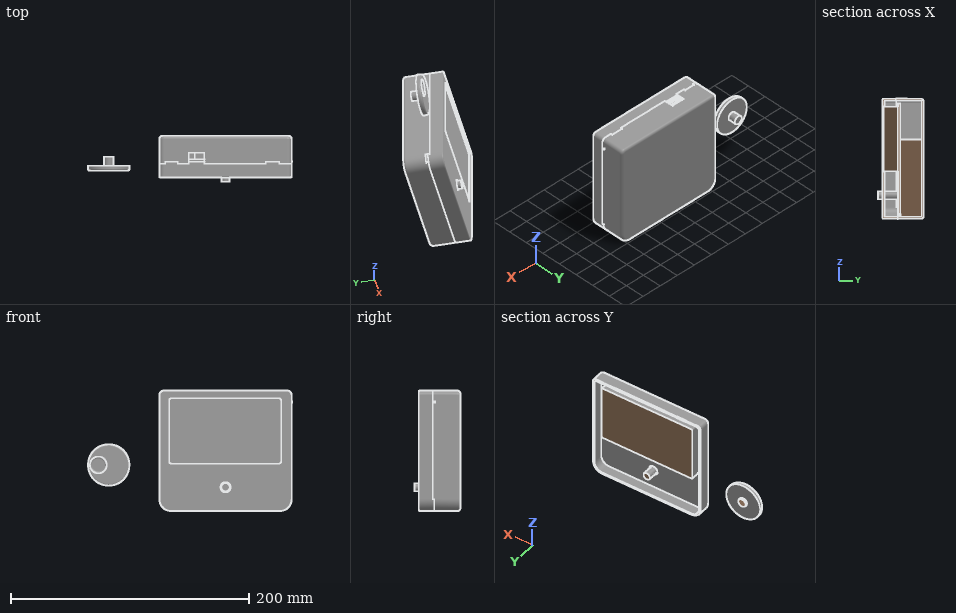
import cadquery as cq

CASE_WIDTH = 111.3
CASE_HEIGHT = 101.4
CASE_DEPTH = 35.2
TOP_CORNER_RADIUS = 4.0
BOTTOM_CORNER_RADIUS = 10.0
BACK_EDGE_RADIUS = 2.7
FRONT_EDGE_RADIUS = 1.0
WALL = 2.0
SEAM_Y = 11.7
CASE_BOTTOM = -CASE_HEIGHT / 2
CASE_TOP = CASE_HEIGHT / 2

TONGUE_RISE = 1.5
TONGUE_TOP_Y = SEAM_Y + TONGUE_RISE
LEFT_TONGUE_X = -45.3
LEFT_TONGUE_WIDTH = 10.5
RIGHT_TONGUE_X = 39.6
RIGHT_TONGUE_WIDTH = 11.3

PORT_X = -24.4
PORT_WIDTH = 13.0
PORT_BACK_Y = 20.8

WINDOW_WIDTH = 94.0
WINDOW_HEIGHT = 54.7
WINDOW_X = -0.3
WINDOW_TOP_MARGIN = 6.7
WINDOW_Z = CASE_TOP - WINDOW_TOP_MARGIN - WINDOW_HEIGHT / 2
WINDOW_CORNER_RADIUS = 1.5
WINDOW_DEPTH = 1.0

BOARD_FRONT_Y = TONGUE_TOP_Y
BOARD_THICKNESS = 2.0
BOARD_GAP = 2.0
BOARD_BACK_Y = BOARD_FRONT_Y + BOARD_THICKNESS
CORNER_TAB_HEIGHT = 6.7
SIDE_TAB_REACH = 0.25
SIDE_TAB_HEIGHT = 1.0
SIDE_TAB_THICKNESS = 0.5
SIDE_TAB_DROP = 9.8
SIDE_TAB_Z = CASE_TOP - SIDE_TAB_DROP

BATTERY_WIDTH = 51.5
BATTERY_TOP_DROP = 34.3

BUTTON_DIAMETER = 7.0
BUTTON_HOLE_DIAMETER = 8.5
BUTTON_PROTRUSION = 3.6
BUTTON_RISE = 20.0
BUTTON_Z = CASE_BOTTOM + BUTTON_RISE

KNOB_DIAMETER = 35.0
KNOB_X = -98.1
KNOB_RISE = 38.8
KNOB_Z = CASE_BOTTOM + KNOB_RISE
KNOB_FRONT_Y = 5.7
KNOB_THICKNESS = 4.3
KNOB_EDGE_RADIUS = 1.7
STEM_DIAMETER = 8.0
STEM_END_Y = 17.5
DIMPLE_DIAMETER = 14.0
DIMPLE_DEPTH = 2.0
DIMPLE_FLOOR_RADIUS = 1.9
DIMPLE_OFFSET = KNOB_DIAMETER / 2 - KNOB_EDGE_RADIUS - DIMPLE_DIAMETER / 2


def block(x_min, x_max, y_min, y_max, z_min, z_max):
    """Axis-aligned box given by its limits."""
    return cq.Workplane("XY").box(
        x_max - x_min, y_max - y_min, z_max - z_min, centered=False
    ).translate((x_min, y_min, z_min))


def disc(diameter, x, z, y_min, y_max):
    """Cylinder along Y."""
    return (
        cq.Workplane("XZ", origin=(x, y_min, z))
        .circle(diameter / 2)
        .extrude(y_min - y_max)
    )


def case_prism(inset, y_min, y_max):
    """Case outline moved inwards by the inset and extruded along Y."""
    prism = block(
        -CASE_WIDTH / 2 + inset, CASE_WIDTH / 2 - inset,
        y_min, y_max,
        CASE_BOTTOM + inset, CASE_TOP - inset,
    )
    prism = prism.edges("|Y and >Z").fillet(TOP_CORNER_RADIUS - inset)
    return prism.edges("|Y and <Z").fillet(BOTTOM_CORNER_RADIUS - inset)


def make_tongues():
    """Three tongues as thick as the top wall, and one along the whole rounded bottom wall."""
    spans = (
        (LEFT_TONGUE_X, LEFT_TONGUE_WIDTH),
        (PORT_X, PORT_WIDTH),
        (RIGHT_TONGUE_X, RIGHT_TONGUE_WIDTH),
    )
    bottom_zone = block(
        -CASE_WIDTH / 2, CASE_WIDTH / 2,
        SEAM_Y, TONGUE_TOP_Y,
        CASE_BOTTOM, CASE_BOTTOM + BOTTOM_CORNER_RADIUS,
    )
    wall_ring = case_prism(0, SEAM_Y, TONGUE_TOP_Y).cut(case_prism(WALL, SEAM_Y, TONGUE_TOP_Y))
    tongues = wall_ring.intersect(bottom_zone)
    for centre, width in spans:
        tongue = block(
            centre - width / 2, centre + width / 2,
            SEAM_Y, TONGUE_TOP_Y,
            CASE_TOP - WALL, CASE_TOP,
        )
        tongues = tongues.union(tongue)
    return tongues


def window_prism(y_min, y_max):
    """Rounded rectangle of the window extruded along Y."""
    return block(
        WINDOW_X - WINDOW_WIDTH / 2, WINDOW_X + WINDOW_WIDTH / 2,
        y_min, y_max,
        WINDOW_Z - WINDOW_HEIGHT / 2, WINDOW_Z + WINDOW_HEIGHT / 2,
    ).edges("|Y").fillet(WINDOW_CORNER_RADIUS)


def make_display():
    """Display panel filling the space from the window recess to the board."""
    return window_prism(WINDOW_DEPTH, BOARD_FRONT_Y)


def make_board():
    """Circuit board with a flush corner tab and a small side tab that leaves the case."""
    inset = WALL + BOARD_GAP
    board = block(
        -CASE_WIDTH / 2 + inset, CASE_WIDTH / 2 - inset,
        BOARD_FRONT_Y, BOARD_BACK_Y,
        CASE_BOTTOM + inset, CASE_TOP - inset,
    )
    board = board.edges("|Y and <Z").fillet(BOTTOM_CORNER_RADIUS - inset)
    tab_bottom = CASE_BOTTOM + BOTTOM_CORNER_RADIUS - CORNER_TAB_HEIGHT
    corner_tab = case_prism(0, BOARD_FRONT_Y, BOARD_BACK_Y).intersect(
        block(
            -CASE_WIDTH / 2, -CASE_WIDTH / 2 + BOTTOM_CORNER_RADIUS,
            BOARD_FRONT_Y, BOARD_BACK_Y,
            tab_bottom, tab_bottom + CORNER_TAB_HEIGHT,
        )
    )
    side_tab = block(
        CASE_WIDTH / 2 - inset, CASE_WIDTH / 2 + SIDE_TAB_REACH,
        BOARD_FRONT_Y, BOARD_FRONT_Y + SIDE_TAB_THICKNESS,
        SIDE_TAB_Z - SIDE_TAB_HEIGHT / 2, SIDE_TAB_Z + SIDE_TAB_HEIGHT / 2,
    )
    return board.union(corner_tab).union(side_tab)


def make_battery():
    """Plain battery block between the board and the back wall."""
    return block(
        -BATTERY_WIDTH / 2, BATTERY_WIDTH / 2,
        BOARD_BACK_Y, CASE_DEPTH - WALL,
        CASE_BOTTOM + WALL, CASE_TOP - BATTERY_TOP_DROP,
    )


def make_button():
    """Push button standing on the board and leaving through the front face."""
    return disc(BUTTON_DIAMETER, 0, BUTTON_Z, -BUTTON_PROTRUSION, BOARD_FRONT_Y)


def make_front_cover():
    """Hollow front cover with window, button hole and tongues."""
    cover = case_prism(0, 0, SEAM_Y).faces("<Y").edges().fillet(FRONT_EDGE_RADIUS)
    cover = cover.cut(case_prism(WALL, WALL, SEAM_Y))
    cover = cover.union(make_tongues())
    cover = cover.cut(window_prism(0, WALL))
    return cover.cut(disc(BUTTON_HOLE_DIAMETER, 0, BUTTON_Z, 0, WALL))


def make_back_shell(board):
    """Hollow back shell with the port, tongue notches and board openings."""
    shell = case_prism(0, SEAM_Y, CASE_DEPTH).faces(">Y").edges().fillet(BACK_EDGE_RADIUS)
    shell = shell.cut(case_prism(WALL, SEAM_Y, CASE_DEPTH - WALL))
    port = block(
        PORT_X - PORT_WIDTH / 2, PORT_X + PORT_WIDTH / 2,
        SEAM_Y, PORT_BACK_Y,
        CASE_TOP - WALL, CASE_TOP,
    )
    return shell.cut(port).cut(make_tongues()).cut(board)


def make_knob():
    """Round knob with a stem behind and an off-centre finger dimple in front."""
    knob = disc(KNOB_DIAMETER, KNOB_X, KNOB_Z, KNOB_FRONT_Y, KNOB_FRONT_Y + KNOB_THICKNESS)
    knob = knob.faces("<Y").edges().fillet(KNOB_EDGE_RADIUS)
    knob = knob.union(disc(STEM_DIAMETER, KNOB_X, KNOB_Z, KNOB_FRONT_Y + KNOB_THICKNESS, STEM_END_Y))
    dimple = disc(
        DIMPLE_DIAMETER, KNOB_X - DIMPLE_OFFSET, KNOB_Z, KNOB_FRONT_Y, KNOB_FRONT_Y + DIMPLE_DEPTH
    )
    dimple = dimple.faces(">Y").edges().fillet(DIMPLE_FLOOR_RADIUS)
    return knob.cut(dimple)


board = make_board()
front_cover = make_front_cover()
back_shell = make_back_shell(board)
display = make_display()
battery = make_battery()
button = make_button()
knob = make_knob()

result = cq.Compound.makeCompound([
    front_cover.val(),
    back_shell.val(),
    display.val(),
    board.val(),
    battery.val(),
    button.val(),
    knob.val(),
])